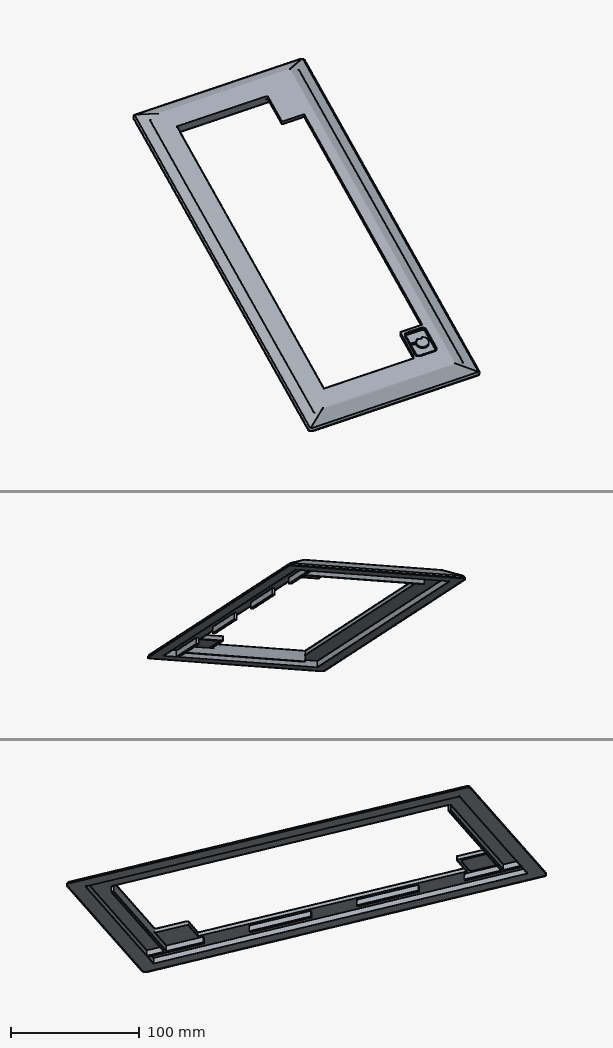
import cadquery as cq
import math

length = 345.75
width = 145.25
height = 8.5
foot_height = 0.75
rim_height = 2.5
rim_inset = 1.4
corner_radius = 3.0
top_length = 322.0
top_width = 112.25
top_edge_radius = 1.5

plate_thickness = 3.5
cavity_length = 320.0
cavity_width = 126.25

window_length = 286.5
window_front_y = -47.5
window_back_y = 48.0
tab_inner_x = 115.0
tab_front_y = 29.25
tab_root_radius = 1.5
tab_corner_radius = 0.75

rib_thickness = 2.0
rib_length = 52.5
rib_pitch = 92.0
rib_count = 4
rib_setback = 2.5

insert_length = 26.0
insert_width = 18.0
insert_corner_radius = 3.0
insert_x = 130.5
insert_y = 40.0
insert_rim = 0.9
dish_depth = 2.0

knob_diameter = 10.0
knob_height = 1.5
knob_x = 130.75
knob_y = 41.5
bite_radius = 2.0
bite_x = -5.5
bite_y = -0.5
pointer_width = 2.5
pointer_left = -2.2
pointer_root = -4.0
pointer_tip = -8.3

plate_bottom = height - plate_thickness
dish_floor = height - dish_depth


def block(x_range, y_range, z_range):
    """Upright block between two limits along each axis."""
    ranges = (x_range, y_range, z_range)
    sizes = [high - low for low, high in ranges]
    corner = tuple(low for low, high in ranges)
    return cq.Workplane("XY").box(*sizes, centered=False).translate(corner)


def centred_block(x_size, y_size, z_range, x=0.0, y=0.0):
    """Upright block centred on (x, y)."""
    return block((x - x_size / 2, x + x_size / 2), (y - y_size / 2, y + y_size / 2), z_range)


def frustum(low_size, high_size, z_low, z_high):
    """Flat-sided solid between two centred rectangles."""
    return (
        cq.Workplane("XY", origin=(0, 0, z_low))
        .rect(*low_size)
        .workplane(offset=z_high - z_low)
        .rect(*high_size)
        .loft(ruled=True)
    )


def frame_shell():
    """Sloped border and top plate, hollow underneath."""
    slope_foot = (length - 2 * rim_inset, width - 2 * rim_inset)
    foot = centred_block(length, width, (0, foot_height)).edges("|Z").fillet(corner_radius)
    band_height = rim_height - foot_height
    band_lean = math.degrees(math.atan(rim_inset / band_height))
    foot_outline = foot.faces(">Z").wires().toPending().workplane()
    band = foot_outline.extrude(band_height, taper=band_lean, combine=False)
    border = frustum(slope_foot, (top_length, top_width), rim_height, height)
    border = border.faces(">Z").edges().fillet(top_edge_radius)
    border_outline = centred_block(*slope_foot, (rim_height, height))
    border_outline = border_outline.edges("|Z").fillet(corner_radius - rim_inset)
    shell = foot.union(band).union(border.intersect(border_outline))
    return shell.cut(centred_block(cavity_length, cavity_width, (0, plate_bottom)))


def window_cutter():
    """T-shaped opening: full width between the tabs, full length in front of them."""
    between_tabs = block((-tab_inner_x, tab_inner_x), (window_front_y, window_back_y), (0, height))
    before_tabs = block(
        (-window_length / 2, window_length / 2), (window_front_y, tab_front_y), (0, height)
    )
    before_tabs = before_tabs.edges("|Z and >Y").fillet(tab_root_radius)
    window = between_tabs.union(before_tabs)
    for side in (-1, 1):
        tab_corner = cq.selectors.NearestToPointSelector((side * tab_inner_x, tab_front_y, height / 2))
        window = window.edges("|Z").edges(tab_corner).fillet(tab_corner_radius)
    return window


def ribs():
    """Row of ribs along the back of the window and one rib along each end."""
    rib_z = (0, plate_bottom)
    back_y = window_back_y + rib_setback
    first_x = -rib_pitch * (rib_count - 1) / 2
    pieces = []
    for index in range(rib_count):
        x = first_x + index * rib_pitch
        pieces.append(centred_block(rib_length, rib_thickness, rib_z, x, back_y + rib_thickness / 2))
    for side in (-1, 1):
        x = side * (window_length + rib_thickness) / 2
        rib_x = (x - rib_thickness / 2, x + rib_thickness / 2)
        pieces.append(block(rib_x, (window_front_y, back_y + rib_thickness), rib_z))
    return pieces


def insert_blank():
    """Outer shape of the insert, also the seat cut for it in the tab."""
    blank = centred_block(insert_length, insert_width, (plate_bottom, height), insert_x, insert_y)
    return blank.edges("|Z").fillet(insert_corner_radius)


def insert_body():
    """Insert with a shallow dish inside a narrow rim."""
    dish = centred_block(
        insert_length - 2 * insert_rim, insert_width - 2 * insert_rim,
        (dish_floor, height), insert_x, insert_y,
    )
    return insert_blank().cut(dish.edges("|Z").fillet(insert_corner_radius - insert_rim))


def knob_body():
    """Disc with a round bite on its left and a pointed finger towards the front."""
    base = cq.Workplane("XY", origin=(knob_x, knob_y, dish_floor))
    disc = base.circle(knob_diameter / 2).extrude(knob_height)
    bite = base.center(bite_x, bite_y).circle(bite_radius).extrude(knob_height)
    pointer = base.polyline([
        (pointer_left, pointer_root),
        (pointer_left + pointer_width, pointer_root),
        (pointer_left, pointer_tip),
    ]).close().extrude(knob_height)
    return disc.cut(bite).union(pointer)


def frame_body():
    """Frame with its window, ribs and the seat for the insert."""
    body = frame_shell().cut(window_cutter())
    for rib in ribs():
        body = body.union(rib)
    return body.cut(insert_blank())


frame = frame_body()
insert = insert_body()
knob = knob_body()
result = cq.Compound.makeCompound([frame.val(), insert.val(), knob.val()])